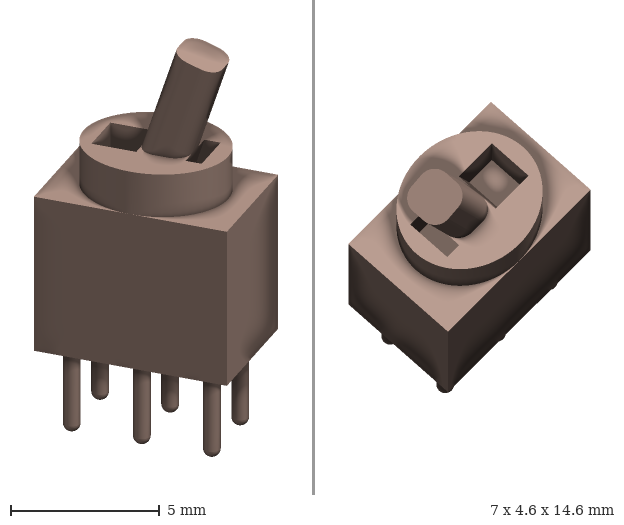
import cadquery as cq

BODY_X = 7.0
BODY_Y = 4.6
BODY_Z = 5.8

COLLAR_X = 5.25
COLLAR_Y = BODY_Y
COLLAR_Z = 1.6
COLLAR_TOP = BODY_Z + COLLAR_Z

LEVER_SIDE = 1.7
LEVER_LENGTH = 5.5
LEVER_TILT = 18.0
LEVER_CORNER_RADIUS = 0.6
LEVER_ROOT = 1.0

SLOT_X = 4.0
SLOT_Y = LEVER_SIDE

PIN_DIAMETER = 0.6
PIN_LENGTH = 3.3
PIN_PITCH = 2.54
PIN_COLUMNS = 3
PIN_ROWS = 2


def make_body():
    return cq.Workplane("XY").box(BODY_X, BODY_Y, BODY_Z, centered=(True, True, False))


def make_collar():
    collar = (
        cq.Workplane("XY", origin=(0, 0, BODY_Z))
        .ellipse(COLLAR_X / 2, COLLAR_Y / 2)
        .extrude(COLLAR_Z)
    )
    slot = cq.Workplane("XY", origin=(0, 0, BODY_Z)).rect(SLOT_X, SLOT_Y).extrude(COLLAR_Z)
    return collar.cut(slot)


def tilted_bar(rounded):
    """Lever bar leaning toward +X, with sharp or rounded long edges."""
    bar = (
        cq.Workplane("XY", origin=(0, 0, BODY_Z - LEVER_ROOT))
        .rect(LEVER_SIDE, LEVER_SIDE)
        .extrude(LEVER_ROOT + LEVER_LENGTH)
    )
    if rounded:
        bar = bar.edges("|Z").fillet(LEVER_CORNER_RADIUS)
    return bar.rotate((0, 0, BODY_Z), (0, 1, BODY_Z), LEVER_TILT)


def make_lever():
    """Lever that is square inside the collar slot and rounded above the collar."""
    below_collar_top = cq.Workplane("XY").box(
        BODY_X, BODY_Y, COLLAR_TOP, centered=(True, True, False)
    )
    square_part = tilted_bar(rounded=False).intersect(below_collar_top)
    rounded_part = tilted_bar(rounded=True).cut(below_collar_top)
    return square_part.union(rounded_part)


def make_pins():
    tip_radius = PIN_DIAMETER / 2
    tip_center_z = tip_radius - PIN_LENGTH
    shanks = (
        cq.Workplane("XY")
        .rarray(PIN_PITCH, PIN_PITCH, PIN_COLUMNS, PIN_ROWS)
        .circle(tip_radius)
        .extrude(tip_center_z)
    )
    tips = (
        cq.Workplane("XY", origin=(0, 0, tip_center_z))
        .rarray(PIN_PITCH, PIN_PITCH, PIN_COLUMNS, PIN_ROWS)
        .sphere(tip_radius)
    )
    return shanks.union(tips)


result = make_body().union(make_collar()).union(make_lever()).union(make_pins())